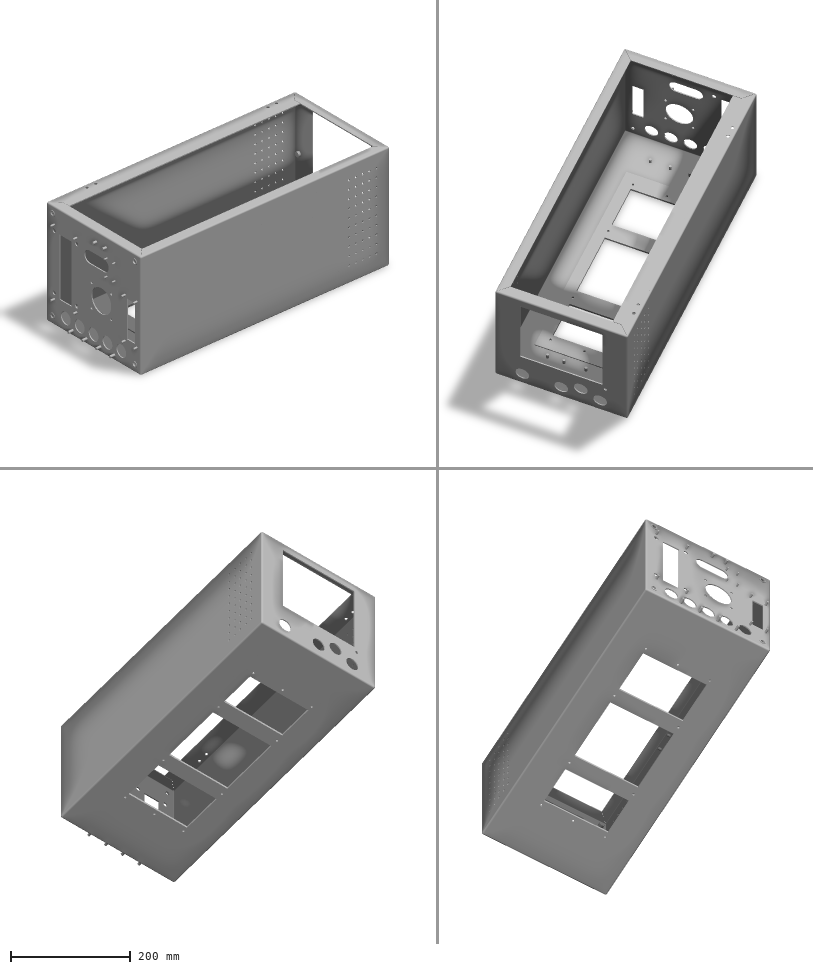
import cadquery as cq
import math

width = 240.0
depth = 550.0
height = 230.0
sheet = 2.0
bend_radius = 3.0

front_face = -depth / 2
back_inside = depth / 2 - sheet
floor_top = -height / 2 + sheet
right_inside = width / 2 - sheet
through = 3 * sheet

lip_width = 19.5
left_lip_width = 35.0
seam_width = 0.5
lip_hole_diameter = 5.5
lip_hole_inset = 9.5
lip_hole_pitch = 19.0
lip_hole_pair_centers = (216.0, -184.0)

plate_width = 162.0
plate_length = 390.0
plate_center = (1.0, 1.0)
window_width = 123.0
windows = ((131.4, 71.0), (6.0, 120.0), (-123.5, 81.0))
plate_hole_diameter = 4.0
plate_hole_x = 61.5
plate_end_rows = (176.5, -173.5)
plate_middle_rows = (81.5, -68.7)

floor_stud_diameter = 4.5
floor_stud_length = 8.0
back_stud_row = (211.0, (-53.0, -17.7, 22.4, 52.2))
front_stud_row = (-229.0, (-52.5, -17.7, 17.5, 54.0))
wall_stud_diameter = 5.0
wall_stud_length = 6.0
wall_stud_z = 88.0
wall_stud_ys = (58.0, 88.0)

vent_diameter = 4.0
vent_columns = 5
vent_rows = 10
vent_column_pitch = 15.1
vent_row_pitch = 18.4
vent_center_y = 215.7
vent_center_z = 2.0

port_diameter = 25.0
port_pitch = 35.3
port_z = -89.0
raised_port_z = -75.0

left_window_x = -71.5
left_window_size = (31.0, 126.0)
left_window_z = 3.2
left_fixing_spacing_x = 57.0
left_fixing_z = 7.2
left_hole_spacing_z = 120.6
left_hole_diameter = 8.0
left_stud_spacing_z = 144.6

right_window_x = 95.2
right_window_size = (20.7, 78.8)
right_window_z = -20.3
right_stud_spacing = (30.0, 89.1)

slot_center = (7.7, 57.0)
slot_length = 61.6
slot_height = 25.0
small_stud_center = (44.5, 57.0)
small_stud_spacing = (20.0, 35.3)
upper_stud_center = (19.4, 94.2)
upper_stud_spacing = 25.0

dial_center = (20.0, -15.0)
dial_diameter = 50.0
dial_hole_pitch = 50.0
dial_hole_diameter = 5.0

small_stud = (3.0, 6.5)
medium_stud = (4.0, 8.0)
large_stud = (5.0, 8.0)
port_stud = (5.0, 10.0)
port_stud_z = -104.7

insert_inset = 15.5
insert_bore = 7.5
insert_flange_diameter = 12.0
insert_flange_thickness = 1.0

back_opening_width = 150.0
back_opening_bottom = -43.0
back_opening_top = 97.0
back_hole_diameter = 6.0
back_hole_center = (-80.0, -53.2)
nut_diameter = 10.0
nut_length = 5.0
nut_x = 108.0
nut_zs = (-99.0, 0.0, 99.0)


def box_between(x0, x1, y0, y1, z0, z1):
    """Axis-aligned block given by its limits."""
    return cq.Workplane("XY").box(x1 - x0, y1 - y0, z1 - z0, centered=False).translate((x0, y0, z0))


def rod_x(x, y, z, diameter, length):
    """Cylinder along +X starting at x."""
    return cq.Workplane("YZ").center(y, z).circle(diameter / 2).extrude(length).translate((x, 0, 0))


def rods_y(points, y, diameter, length):
    """Cylinders along +Y starting at y, one per (x, z) point."""
    rods = cq.Workplane("XZ").pushPoints(points).circle(diameter / 2).extrude(-length)
    return rods.translate((0, y, 0))


def rods_z(points, z, diameter, length):
    """Cylinders along +Z starting at z, one per (x, y) point."""
    return cq.Workplane("XY").workplane(offset=z).pushPoints(points).circle(diameter / 2).extrude(length)


def rectangle_points(center, spacing):
    """Four corners of a rectangle around a centre."""
    return [
        (center[0] + side * spacing[0] / 2, center[1] + level * spacing[1] / 2)
        for side in (-1, 1)
        for level in (-1, 1)
    ]


def front_holes(points, diameter):
    return rods_y(points, front_face - sheet, diameter, through)


def front_window(x, z, size):
    half_width = size[0] / 2
    half_height = size[1] / 2
    return box_between(
        x - half_width, x + half_width,
        front_face - sheet, front_face - sheet + through,
        z - half_height, z + half_height,
    )


def front_studs(points, stud):
    """Studs rooted in the front wall and standing out of it."""
    diameter, length = stud
    return rods_y(points, front_face - length, diameter, length + sheet / 2)


def back_holes(points, diameter):
    return rods_y(points, back_inside - sheet, diameter, through)


def make_shell():
    """Folded box with bent edges, open at the top inside the lips."""
    outer = cq.Workplane("XY").box(width, depth, height).edges().fillet(bend_radius)
    inner = cq.Workplane("XY").box(width - 2 * sheet, depth - 2 * sheet, height - 2 * sheet)
    inner = inner.edges().fillet(bend_radius - sheet)
    mouth = box_between(
        -width / 2 + left_lip_width, width / 2 - lip_width,
        -depth / 2 + lip_width, depth / 2 - lip_width,
        height / 2 - 2 * sheet, height / 2 + sheet,
    )
    return outer.cut(inner).cut(mouth)


def cut_lip_seams(body):
    """Mitre seams between neighbouring lips, and the straight ends of the wide left lip."""
    seam_length = (lip_width - bend_radius) * math.sqrt(2)
    seam_middle = (lip_width + bend_radius) / 2
    seam_z = height / 2
    for side in (-1, 1):
        for end in (-1, 1):
            seam = cq.Workplane("XY").box(seam_length, seam_width, through)
            seam = seam.rotate((0, 0, 0), (0, 0, 1), 45 * side * end)
            x = side * (width / 2 - seam_middle)
            y = end * (depth / 2 - seam_middle)
            body = body.cut(seam.translate((x, y, seam_z)))
    for end in (-1, 1):
        lip_end = cq.Workplane("XY").box(left_lip_width - lip_width, seam_width, through)
        x = -width / 2 + (lip_width + left_lip_width) / 2
        y = end * (depth / 2 - lip_width - seam_width / 2)
        body = body.cut(lip_end.translate((x, y, seam_z)))
    return body


def cut_lip_holes(body):
    points = [
        (-width / 2 + lip_hole_inset, center + side * lip_hole_pitch / 2)
        for center in lip_hole_pair_centers
        for side in (-1, 1)
    ]
    return body.cut(rods_z(points, height / 2 - 2 * sheet, lip_hole_diameter, through))


def add_floor_plate(body):
    """Raised plate with windows and screw holes passing through plate and floor."""
    plate = cq.Workplane("XY").box(plate_width, plate_length, 2 * sheet)
    body = body.union(plate.translate((plate_center[0], plate_center[1], floor_top)))
    cut_bottom = -height / 2 - sheet
    cut_top = floor_top + 2 * sheet
    for y, length in windows:
        window = box_between(
            -window_width / 2, window_width / 2, y - length / 2, y + length / 2, cut_bottom, cut_top
        )
        body = body.cut(window)
    points = [(x, y) for y in plate_end_rows for x in (-plate_hole_x, 0, plate_hole_x)]
    points += [(x, y) for y in plate_middle_rows for x in (-plate_hole_x, plate_hole_x)]
    return body.cut(rods_z(points, cut_bottom, plate_hole_diameter, cut_top - cut_bottom))


def add_inside_studs(body):
    for y, xs in (back_stud_row, front_stud_row):
        points = [(x, y) for x in xs]
        root = floor_top - sheet / 2
        body = body.union(rods_z(points, root, floor_stud_diameter, floor_stud_length + sheet / 2))
    for y in wall_stud_ys:
        tip = right_inside - wall_stud_length
        body = body.union(rod_x(tip, y, wall_stud_z, wall_stud_diameter, wall_stud_length + sheet / 2))
    return body


def cut_vents(body):
    vents = (
        cq.Workplane("YZ")
        .center(vent_center_y, vent_center_z)
        .rarray(vent_column_pitch, vent_row_pitch, vent_columns, vent_rows)
        .circle(vent_diameter / 2)
        .extrude(width, both=True)
    )
    return body.cut(vents)


def cut_front(body):
    """Windows, slot and holes of the front wall."""
    ports = [(i * port_pitch, port_z) for i in range(-2, 3)]
    body = body.cut(front_holes(ports, port_diameter))
    body = body.cut(front_window(left_window_x, left_window_z, left_window_size))
    body = body.cut(front_window(right_window_x, right_window_z, right_window_size))
    left_holes = rectangle_points(
        (left_window_x, left_fixing_z), (left_fixing_spacing_x, left_hole_spacing_z)
    )
    body = body.cut(front_holes(left_holes, left_hole_diameter))
    slot = cq.Workplane("XZ").center(*slot_center).slot2D(slot_length, slot_height).extrude(-through)
    body = body.cut(slot.translate((0, front_face - sheet, 0)))
    body = body.cut(front_holes([dial_center], dial_diameter))
    dial_holes = rectangle_points(dial_center, (dial_hole_pitch, dial_hole_pitch))
    return body.cut(front_holes(dial_holes, dial_hole_diameter))


def add_front_inserts(body):
    """Flanged threaded inserts in the four front corners."""
    spacing = (width - 2 * insert_inset, height - 2 * insert_inset)
    points = rectangle_points((0, 0), spacing)
    flanges = front_studs(points, (insert_flange_diameter, insert_flange_thickness))
    return body.union(flanges).cut(front_holes(points, insert_bore))


def add_front_studs(body):
    left = rectangle_points(
        (left_window_x, left_fixing_z), (left_fixing_spacing_x, left_stud_spacing_z)
    )
    right = rectangle_points((right_window_x, right_window_z), right_stud_spacing)
    small = rectangle_points(small_stud_center, small_stud_spacing)
    upper_x, upper_z = upper_stud_center
    upper = [(upper_x + side * upper_stud_spacing / 2, upper_z) for side in (-1, 1)]
    between_ports = [((i - 1.5) * port_pitch, port_stud_z) for i in range(4)]
    body = body.union(front_studs(left + right, medium_stud))
    body = body.union(front_studs(small, small_stud))
    body = body.union(front_studs(upper, large_stud))
    return body.union(front_studs(between_ports, port_stud))


def finish_back(body):
    """Main opening, round ports, screw hole and inside nuts of the back wall."""
    opening = box_between(
        -back_opening_width / 2, back_opening_width / 2,
        back_inside - sheet, back_inside - sheet + through,
        back_opening_bottom, back_opening_top,
    )
    body = body.cut(opening)
    ports = [(i * port_pitch, port_z) for i in (-2, 0, 2)]
    ports.append((-port_pitch, raised_port_z))
    body = body.cut(back_holes(ports, port_diameter))
    body = body.cut(back_holes([back_hole_center], back_hole_diameter))
    nuts = [(side * nut_x, z) for side in (-1, 1) for z in nut_zs]
    return body.union(rods_y(nuts, back_inside - nut_length, nut_diameter, nut_length + sheet / 2))


body = make_shell()
body = cut_lip_seams(body)
body = cut_lip_holes(body)
body = add_floor_plate(body)
body = add_inside_studs(body)
body = cut_vents(body)
body = cut_front(body)
body = add_front_inserts(body)
body = add_front_studs(body)
result = finish_back(body)